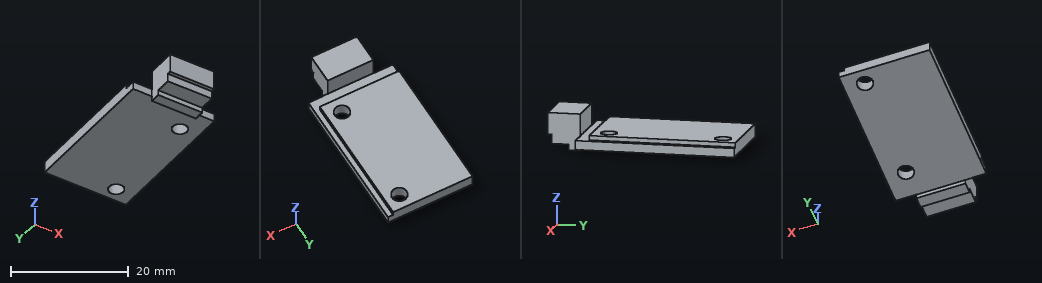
import cadquery as cq

overall_length = 33.3
plate_width = 16.5
plate_length = 27.6
plate_bottom = 1.0
plate_thickness = 2.35
plate_top = plate_bottom + plate_thickness

ledge_depth = 0.75
front_ledge = 2.2
side_ledge = 1.0
ledge_height = plate_top - ledge_depth

hole_diameter = 2.8
hole_x = 12.72
hole_back_margin = 2.75
hole_spacing = 19.85

block_left = 3.8
block_width = 8.92
block_height = 6.4
head_reach = overall_length - plate_length
middle_reach = 5.0
foot_reach = 2.0


def make_plate():
    base = cq.Workplane("XY").box(
        plate_width, plate_length, plate_thickness - ledge_depth, centered=False
    ).translate((0, 0, plate_bottom))
    raised = cq.Workplane("XY").box(
        plate_width - side_ledge, plate_length - front_ledge, ledge_depth, centered=False
    ).translate((0, front_ledge, ledge_height))
    rear_hole_y = plate_length - hole_back_margin
    holes = (
        cq.Workplane("XY")
        .pushPoints([(hole_x, rear_hole_y), (hole_x, rear_hole_y - hole_spacing)])
        .circle(hole_diameter / 2)
        .extrude(plate_top)
    )
    return base.union(raised).cut(holes)


def make_block():
    profile = [
        (0, 0),
        (-foot_reach, 0),
        (-foot_reach, plate_bottom),
        (-middle_reach, plate_bottom),
        (-middle_reach, ledge_height),
        (-head_reach, ledge_height),
        (-head_reach, block_height),
        (0, block_height),
    ]
    return (
        cq.Workplane("YZ", origin=(block_left, 0, 0))
        .polyline(profile)
        .close()
        .extrude(block_width)
    )


result = make_plate().union(make_block())